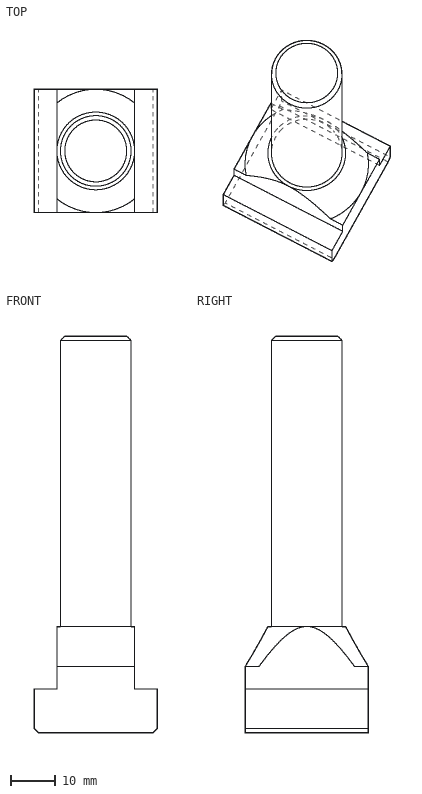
import cadquery as cq

total_height = 90.0
head_side = 28.0
head_height = 10.0
head_chamfer = 1.0

neck_width = 17.6
neck_block_top = 15.0
neck_top = 24.1

shank_diameter = 16.0
shank_chamfer = 1.0


def make_head():
    """Square T-slot head with its two long bottom edges chamfered."""
    head = cq.Workplane("XY").box(head_side, head_side, head_height, centered=(True, True, False))
    return head.faces("<Z").edges("|Y").chamfer(head_chamfer)


def make_neck_slab(bottom, top):
    """Block of neck width, running the full depth of the head."""
    slab = cq.Workplane("XY").workplane(offset=bottom)
    return slab.box(neck_width, head_side, top - bottom, centered=(True, True, False))


def make_neck_cone():
    """Cone narrowing from the head side to the neck width, cut flat on both X sides."""
    cone = (
        cq.Workplane("XY")
        .workplane(offset=neck_block_top)
        .circle(head_side / 2)
        .workplane(offset=neck_top - neck_block_top)
        .circle(neck_width / 2)
        .loft(ruled=True)
    )
    return cone.intersect(make_neck_slab(neck_block_top, neck_top))


def make_shank():
    """Round shank with a chamfered free end."""
    shank = cq.Workplane("XY").workplane(offset=neck_top).circle(shank_diameter / 2)
    return shank.extrude(total_height - neck_top).faces(">Z").chamfer(shank_chamfer)


neck_block = make_neck_slab(head_height, neck_block_top)
result = make_head().union(neck_block).union(make_neck_cone()).union(make_shank())